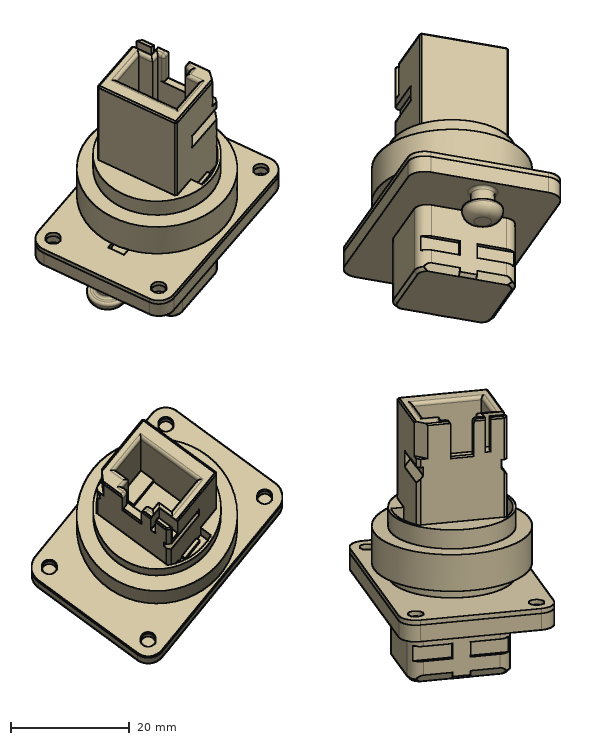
import cadquery as cq
import math


TOP_Z = 46.8
COLLAR_TOP_Z = 28.7
NUT_TOP_Z = 25.3
NUT_BOTTOM_Z = 18.7
GASKET_TOP_Z = 16.45
FLANGE_TOP_Z = 15.55
FLANGE_BOTTOM_Z = 12.55

FLANGE_X = 27.0
FLANGE_Y = 38.0
FLANGE_CORNER_R = 3.0
SCREW_HOLE_D = 2.6
SCREW_HOLE_DEPTH = 1.5
SCREW_SPACING_X = FLANGE_X - 2 * FLANGE_CORNER_R
SCREW_SPACING_Y = FLANGE_Y - 2 * FLANGE_CORNER_R
GASKET_SLOT_X = 3.15
GASKET_SLOT_REACH = 12.83

COLLAR_R = 10.75
NUT_R = FLANGE_X / 2
RECESS_R = 10.25
RECESS_FRONT_Y = -1.8
RECESS_DEPTH = 3.75
RECESS_FLOOR_Z = COLLAR_TOP_Z - RECESS_DEPTH
RECESS_STEP_Y = 4.3
RECESS_STEP_HEIGHT = 0.95
SIDE_LEDGE_X = 0.7
SIDE_LEDGE_FRONT_Y = -0.65
SIDE_LEDGE_BACK_Y = 3.35
SIDE_LEDGE_HEIGHT = 0.95

TOWER_X = 15.77
TOWER_FRONT_Y = -6.35
TOWER_BACK_Y = 6.9
TOWER_CHAMFER = 0.3
TOWER_BACK_CHAMFER = 0.6

CAVITY_X = 12.0
CAVITY_FRONT_Y = -3.32
CAVITY_BACK_Y = 3.7
CAVITY_DEPTH = 16.85
NECK_X = 6.45
NECK_BACK_Y = 5.35
NECK_EXTRA_DEPTH = 0.95
CAVITY_SHELF_FRONT_Y = 2.5
CAVITY_SHELF_HEIGHT = 0.95
MOUTH_FILLET = 0.65
MOUTH_MARGIN = 0.15
LATCH_SLOT_X = 4.03
LATCH_SLOT_DEPTH = 6.35
LATCH_EDGE_FILLET = 0.55

POCKET_FRONT_Y = 4.55
POCKET_WALL_Y = 6.0
POCKET_DEPTH = 6.25
POCKET_X = 3.9
POCKET_STEP_X = 1.5
POCKET_STEP_HEIGHT = 0.2
POCKET_GAP_X = 0.95
CORNER_CUT = 1.85

GROOVE_TOP_Z = 39.05
GROOVE_BREAK_Z = 37.55
GROOVE_BOTTOM_Z = 36.2
GROOVE_DEPTH = 1.1
GROOVE_FRONT_Y = -1.4

BLOCK_X = 17.9
BLOCK_FRONT_Y = -8.45
BLOCK_BACK_Y = 6.4
BLOCK_CORNER_R = 2.3
BLOCK_CHAMFER = 0.6
WINDOW_INNER_X = 1.55
WINDOW_OUTER_X = 8.35
WINDOW_TOP_Z = 6.55
WINDOW_BOTTOM_Z = 3.85
WINDOW_DEPTH = 0.7
BEVEL_HEIGHT = 1.35
BEVEL_DEPTH = 0.65

KNOB_HEAD_R = 3.5
KNOB_SHAFT_R = 2.0
KNOB_FLARE = 0.5
KNOB_Y = KNOB_HEAD_R - FLANGE_Y / 2
KNOB_HEAD_TOP_Z = 9.5
KNOB_RIM_R = 0.55
KNOB_TIP_R = 1.5
KNOB_TIP_Z = 6.9
KNOB_DOME_BULGE_R = 2.9
KNOB_DOME_BULGE_Z = 7.5


def block(x_range, y_range, z_range):
    """Box between two limits along each axis."""
    (x0, x1), (y0, y1), (z0, z1) = x_range, y_range, z_range
    return cq.Workplane().box(x1 - x0, y1 - y0, z1 - z0, centered=False).translate((x0, y0, z0))


def centered_block(width, y_range, z_range):
    """Box that is symmetric about the YZ plane."""
    return block((-width / 2, width / 2), y_range, z_range)


def cylinder(radius, z0, z1):
    """Cylinder on the collar axis."""
    return cq.Workplane().workplane(offset=z0).circle(radius).extrude(z1 - z0)


def flange_slab(z0, z1):
    """Slab with the rounded flange outline."""
    slab = cq.Workplane().workplane(offset=z0).rect(FLANGE_X, FLANGE_Y).extrude(z1 - z0)
    return slab.edges("|Z").fillet(FLANGE_CORNER_R)


def screw_holes(z0, z1):
    """Four cylinders at the screw positions, concentric with the flange corners."""
    pattern = cq.Workplane().workplane(offset=z0).rect(SCREW_SPACING_X, SCREW_SPACING_Y, forConstruction=True)
    return pattern.vertices().circle(SCREW_HOLE_D / 2).extrude(z1 - z0)


def make_flange_and_collar():
    flange = flange_slab(FLANGE_BOTTOM_Z, FLANGE_TOP_Z)
    flange = flange.cut(screw_holes(FLANGE_TOP_Z - SCREW_HOLE_DEPTH, FLANGE_TOP_Z))
    collar = cylinder(COLLAR_R, FLANGE_TOP_Z, COLLAR_TOP_Z)
    recess_y = (RECESS_FRONT_Y, TOWER_BACK_Y)
    recess = centered_block(2 * RECESS_R, recess_y, (RECESS_FLOOR_Z, COLLAR_TOP_Z))
    recess = recess.intersect(cylinder(RECESS_R, RECESS_FLOOR_Z, COLLAR_TOP_Z))
    step = block(
        (-RECESS_R, 0),
        (RECESS_STEP_Y, TOWER_BACK_Y),
        (RECESS_FLOOR_Z, RECESS_FLOOR_Z + RECESS_STEP_HEIGHT),
    )
    return flange.union(collar.cut(recess.cut(step)))


def make_tower_shell():
    """Solid tower standing on the recess floor, with chamfered edges and side ledges."""
    tower = centered_block(TOWER_X, (TOWER_FRONT_Y, TOWER_BACK_Y), (RECESS_FLOOR_Z, TOP_Z))
    tower = tower.edges("|Z and <Y").chamfer(TOWER_CHAMFER)
    tower = tower.edges("|Z and >Y").chamfer(TOWER_BACK_CHAMFER)
    tower = tower.faces(">Z").chamfer(TOWER_CHAMFER)
    ledges = centered_block(
        TOWER_X + 2 * SIDE_LEDGE_X,
        (SIDE_LEDGE_FRONT_Y, SIDE_LEDGE_BACK_Y),
        (RECESS_FLOOR_Z, RECESS_FLOOR_Z + SIDE_LEDGE_HEIGHT),
    )
    return tower.union(ledges)


def make_plug_cavity():
    """Stepped cavity for the plug, with sharp mouth edges."""
    floor_z = TOP_Z - CAVITY_DEPTH
    body = centered_block(CAVITY_X, (CAVITY_FRONT_Y, CAVITY_BACK_Y), (floor_z, TOP_Z))
    shelf = centered_block(
        CAVITY_X, (CAVITY_SHELF_FRONT_Y, CAVITY_BACK_Y), (floor_z, floor_z + CAVITY_SHELF_HEIGHT)
    )
    neck_z = (floor_z - NECK_EXTRA_DEPTH, TOP_Z)
    neck = centered_block(NECK_X, (CAVITY_FRONT_Y, NECK_BACK_Y), neck_z)
    return body.cut(shelf).union(neck)


def make_latch_slot():
    """Slot through the back wall; the outer edge of its floor is chamfered like the tower."""
    floor_z = TOP_Z - LATCH_SLOT_DEPTH
    outline = [
        (NECK_BACK_Y, floor_z),
        (TOWER_BACK_Y - TOWER_CHAMFER, floor_z),
        (TOWER_BACK_Y, floor_z - TOWER_CHAMFER),
        (TOWER_BACK_Y, TOP_Z),
        (NECK_BACK_Y, TOP_Z),
    ]
    half_x = LATCH_SLOT_X / 2
    return cq.Workplane("YZ").polyline(outline).close().extrude(half_x, both=True)


def make_light_pipe_pocket():
    """Pocket with a stepped floor, open to the left side and through a gap in the back wall."""
    left_x = -TOWER_X / 2
    step_x = left_x + POCKET_STEP_X
    right_x = left_x + POCKET_X
    floor_z = TOP_Z - POCKET_DEPTH
    step_z = floor_z + POCKET_STEP_HEIGHT
    pocket = block((left_x, right_x), (POCKET_FRONT_Y, POCKET_WALL_Y), (floor_z, TOP_Z))
    step = block((step_x, right_x), (POCKET_FRONT_Y, POCKET_WALL_Y), (floor_z, step_z))
    gap = block((right_x - POCKET_GAP_X, right_x), (POCKET_WALL_Y, TOWER_BACK_Y), (step_z, TOP_Z))
    return pocket.cut(step).union(gap)


def make_corner_cut():
    """Triangular prism that takes off the right back corner of the tower top."""
    corner_x = TOWER_X / 2
    outline = [
        (corner_x, TOWER_BACK_Y),
        (corner_x - CORNER_CUT, TOWER_BACK_Y),
        (corner_x, TOWER_BACK_Y - CORNER_CUT),
    ]
    plane = cq.Workplane().workplane(offset=TOP_Z - POCKET_DEPTH)
    return plane.polyline(outline).close().extrude(POCKET_DEPTH)


def make_latch_grooves():
    """Left and right side grooves, each with a flat upper wall and a sloping lower wall."""
    outer_x = -TOWER_X / 2
    inner_x = outer_x + GROOVE_DEPTH
    outline = [
        (outer_x, GROOVE_TOP_Z),
        (inner_x, GROOVE_TOP_Z),
        (inner_x, GROOVE_BREAK_Z),
        (outer_x, GROOVE_BOTTOM_Z),
    ]
    plane = cq.Workplane("XZ", origin=(0, TOWER_BACK_Y, 0))
    groove = plane.polyline(outline).close().extrude(TOWER_BACK_Y - GROOVE_FRONT_Y)
    return groove.union(groove.mirror("YZ"))


def make_tower():
    tower = make_tower_shell().cut(make_plug_cavity()).cut(make_latch_slot())
    slot_half_x = LATCH_SLOT_X / 2
    for x in (-slot_half_x, slot_half_x):
        post_edge = cq.selectors.NearestToPointSelector((x, NECK_BACK_Y, TOP_Z - LATCH_SLOT_DEPTH / 2))
        tower = tower.edges("|Z").edges(post_edge).fillet(LATCH_EDGE_FILLET)
    mouth = cq.selectors.BoxSelector(
        (-CAVITY_X / 2 - MOUTH_MARGIN, CAVITY_FRONT_Y - MOUTH_MARGIN, TOP_Z - MOUTH_MARGIN),
        (CAVITY_X / 2 + MOUTH_MARGIN, NECK_BACK_Y + MOUTH_MARGIN, TOP_Z + MOUTH_MARGIN),
    )
    tower = tower.edges(mouth).fillet(MOUTH_FILLET)
    tower = tower.cut(make_light_pipe_pocket()).cut(make_corner_cut())
    return tower.cut(make_latch_grooves())


def make_block_bevel(x0, x1):
    """Wedge along the lower front edge of the rear block."""
    outline = [
        (BLOCK_FRONT_Y, 0),
        (BLOCK_FRONT_Y + BEVEL_DEPTH, 0),
        (BLOCK_FRONT_Y, BEVEL_HEIGHT),
    ]
    return cq.Workplane("YZ", origin=(x0, 0, 0)).polyline(outline).close().extrude(x1 - x0)


def make_rear_block():
    rear = centered_block(BLOCK_X, (BLOCK_FRONT_Y, BLOCK_BACK_Y), (0, FLANGE_BOTTOM_Z))
    rear = rear.edges("|Z").fillet(BLOCK_CORNER_R)
    rear = rear.faces("<Z").chamfer(BLOCK_CHAMFER)
    middle_y = (BLOCK_FRONT_Y + BLOCK_BACK_Y) / 2
    for x0, x1 in ((-WINDOW_OUTER_X, -WINDOW_INNER_X), (WINDOW_INNER_X, WINDOW_OUTER_X)):
        window_y = (BLOCK_FRONT_Y, BLOCK_FRONT_Y + WINDOW_DEPTH)
        window = block((x0, x1), window_y, (WINDOW_BOTTOM_Z, WINDOW_TOP_Z))
        relief = window.union(make_block_bevel(x0, x1))
        rear = rear.cut(relief).cut(relief.mirror("XZ", (0, middle_y, 0)))
    return rear


def make_knob():
    """Revolved knob with a flared shaft and a domed head."""
    flare_r = KNOB_SHAFT_R + KNOB_FLARE
    rim_z = KNOB_HEAD_TOP_Z - KNOB_RIM_R
    arc_offset = KNOB_FLARE * (1 - math.sqrt(0.5))
    rim_offset = KNOB_RIM_R * (1 - math.sqrt(0.5))
    profile = (
        cq.Workplane("XZ")
        .moveTo(0, FLANGE_BOTTOM_Z)
        .lineTo(flare_r, FLANGE_BOTTOM_Z)
        .threePointArc(
            (KNOB_SHAFT_R + arc_offset, FLANGE_BOTTOM_Z - arc_offset),
            (KNOB_SHAFT_R, FLANGE_BOTTOM_Z - KNOB_FLARE),
        )
        .lineTo(KNOB_SHAFT_R, KNOB_HEAD_TOP_Z + KNOB_FLARE)
        .threePointArc(
            (KNOB_SHAFT_R + arc_offset, KNOB_HEAD_TOP_Z + arc_offset),
            (flare_r, KNOB_HEAD_TOP_Z),
        )
        .lineTo(KNOB_HEAD_R - KNOB_RIM_R, KNOB_HEAD_TOP_Z)
        .threePointArc(
            (KNOB_HEAD_R - rim_offset, KNOB_HEAD_TOP_Z - rim_offset),
            (KNOB_HEAD_R, rim_z),
        )
        .threePointArc((KNOB_DOME_BULGE_R, KNOB_DOME_BULGE_Z), (KNOB_TIP_R, KNOB_TIP_Z))
        .lineTo(0, KNOB_TIP_Z)
        .close()
    )
    return profile.revolve(360, (0, 0, 0), (0, 1, 0)).translate((0, KNOB_Y, 0))


def make_housing():
    housing = make_flange_and_collar()
    for part in (make_tower(), make_rear_block(), make_knob()):
        housing = housing.union(part)
    return housing


def make_gasket():
    """Flat gasket on the flange, with a slot beside the collar bore."""
    gasket = flange_slab(FLANGE_TOP_Z, GASKET_TOP_Z)
    gasket = gasket.cut(screw_holes(FLANGE_TOP_Z, GASKET_TOP_Z))
    gasket = gasket.cut(cylinder(COLLAR_R, FLANGE_TOP_Z, GASKET_TOP_Z))
    slot = centered_block(GASKET_SLOT_X, (-GASKET_SLOT_REACH, 0), (FLANGE_TOP_Z, GASKET_TOP_Z))
    return gasket.cut(slot)


def make_ring_nut():
    nut = cylinder(NUT_R, NUT_BOTTOM_Z, NUT_TOP_Z)
    return nut.cut(cylinder(COLLAR_R, NUT_BOTTOM_Z, NUT_TOP_Z))


housing = make_housing()
gasket = make_gasket()
ring_nut = make_ring_nut()

result = cq.Compound.makeCompound([body.solids().val() for body in (housing, gasket, ring_nut)])